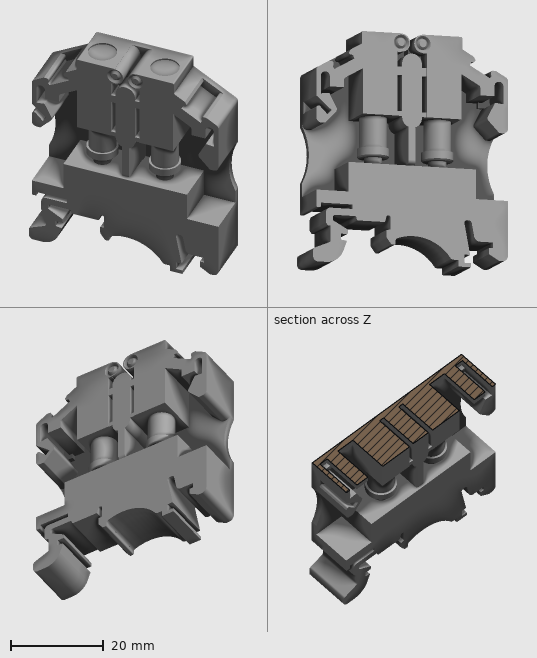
import cadquery as cq
import math

depth = 11.0
height = 51.0
wall_thickness = 1.5
pocket_depth = depth - wall_thickness
half_width = 21.8

base_top = 22.2
base_half_width = 14.45
shoulder_z = 15.7

rail_hollow_x = 0.3
rail_hollow_z = -3.55
rail_hollow_radius = 10.35
claw_inner_x = -3.75
claw_root_radius = 0.65

waist_bottom = 18.75
waist_top = 31.1
waist_sag = 1.55

head_half_width = 11.35
column_half_width = 11.2
head_bottom = 32.95
roof_break_z = 48.3
roof_bottom = 38.45
eave_z = 42.45
eave_radius = 1.0
ridge_radius = 0.3

pocket_half_width = 3.3
pocket_top = 46.9
partition_half_width = 2.25
partition_top = 46.7
partition_bottom = 30.5
partition_setback = 0.1
web_half_width = 0.8
web_bottom = 22.5
web_corner_radius = 0.9
web_gap_depth = 8.1
upper_bar_top = 43.7
upper_pocket_depth = 4.1
cross_bars = [(head_bottom, 34.0), (41.85, upper_bar_top)]

barrel_diameter = 4.0
barrel_x = 2.45
barrel_z = 48.95
ring_outer_diameter = 3.45
ring_root_diameter = 2.5
ring_inner_diameter = 1.5
ring_depth = 0.5

screw_x = 7.3
screw_y = 4.8
shaft_diameter = 6.0
collar_diameter = 7.0
neck_diameter = 4.0
collar_top = 26.15
collar_bottom = 24.1
collar_chamfer = 0.3
screw_access_diameter = 6.3
screw_access_depth = 0.35

hook_slot_depth = 8.5
ledge_depth = 1.0
ledge_bottom = 37.25
ledge_inner_x = 17.85
ledge_outer_x = 20.55


def corner_arc(before, corner, after, radius):
    """Start, middle and end of the arc that rounds a corner."""
    x, z = corner
    angle_in = math.atan2(before[1] - z, before[0] - x)
    angle_out = math.atan2(after[1] - z, after[0] - x)
    opening = abs((angle_out - angle_in + math.pi) % (2 * math.pi) - math.pi)
    reach = radius / math.tan(opening / 2)
    start = (x + reach * math.cos(angle_in), z + reach * math.sin(angle_in))
    end = (x + reach * math.cos(angle_out), z + reach * math.sin(angle_out))
    chord_middle = ((start[0] + end[0]) / 2 - x, (start[1] + end[1]) / 2 - z)
    to_middle = radius / math.sin(opening / 2) - radius
    scale = to_middle / math.hypot(*chord_middle)
    middle = (x + scale * chord_middle[0], z + scale * chord_middle[1])
    return start, middle, end


def plate(corners, y_front, y_back):
    """Extrude an XZ outline; a corner is (x, z) or (x, z, rounding radius)."""
    outline = cq.Workplane("XZ", origin=(0, y_front, 0))
    started = False
    for i, corner in enumerate(corners):
        before = corners[i - 1][:2]
        after = corners[(i + 1) % len(corners)][:2]
        if len(corner) == 3:
            start, middle, end = corner_arc(before, corner[:2], after, corner[2])
            outline = outline.lineTo(*start) if started else outline.moveTo(*start)
            outline = outline.threePointArc(middle, end)
        else:
            outline = outline.lineTo(*corner) if started else outline.moveTo(*corner)
        started = True
    return outline.close().extrude(y_front - y_back)


def block(x_min, x_max, y_min, y_max, z_min, z_max):
    """Box between two limits along each axis."""
    size = (x_max - x_min, y_max - y_min, z_max - z_min)
    return cq.Workplane("XY").box(*size, centered=False).translate((x_min, y_min, z_min))


def mirrored(corners):
    """Complete a right-half outline, running from top to bottom, with its left half."""
    left = [(-corner[0],) + corner[1:] for corner in reversed(corners)]
    return corners + left


def rail_foot():
    """Lower body with the rail clamp; same section through the whole depth."""
    corners = [
        (half_width, shoulder_z),
        (half_width, 2.45, 1.35),
        (19.8, 2.45, 0.4),
        (17.45, 3.8),
        (17.45, 5.2),
        (18.35, 5.2),
        (18.35, 6.45),
        (14.3, 6.45, 1.3),
        (13.4, 10.95, 0.65),
        (11.75, 10.95, 0.6),
        (13.15, 3.4),
        (11.9, 3.4),
        (11.9, 1.65),
        (13.35, 1.65),
        (13.35, 0.7),
        (10.45, 0.7),
        (10.45, 2.15),
        (8.85, 2.15, 1.3),
        (7.4, 3.75),
        (claw_inner_x, 5.6),
        (claw_inner_x, 4.65, 0.25),
        (-4.7, 4.65, 0.15),
        (-5.8, 6.1, 0.75),
        (-5.8, 7.8),
        (-4.9, 7.9),
        (-4.9, 10.95, 0.45),
        (-5.75, 10.95, 0.3),
        (-6.15, 9.5),
        (-12.5, 9.5, 0.25),
        (-12.75, 10.4, 0.25),
        (-18.0, 10.4, 0.5),
        (-18.0, 9.25, 0.2),
        (-14.6, 7.35, 0.2),
        (-14.6, 6.4, 0.2),
        (-16.2, 6.4),
        (-16.2, 5.1),
        (-14.8, 4.9, 0.15),
        (-16.65, 0, 4.1),
        (-22.5, 0, 1.1),
        (-22.5, 2.85, 0.65),
        (-18.5, 4.5, 0.45),
        (-18.5, 8.0),
        (-19.1, 8.0, 0.25),
        (-19.6, 8.6),
        (-19.6, 11.95, 1.0),
        (-13.5, 11.95, 0.2),
        (-13.5, 12.9, 0.2),
        (-20.65, 12.9),
        (-20.65, 11.95, 0.3),
        (-half_width, 11.95, 0.25),
        (-half_width, shoulder_z),
    ]
    return plate(corners, 0, depth)


def rail_clearance():
    """Round hollow in the underside that clears the rail."""
    arc = cq.Workplane("XZ").center(rail_hollow_x, rail_hollow_z).circle(rail_hollow_radius)
    hollow = arc.extrude(-depth).intersect(block(claw_inner_x, half_width, 0, depth, 0, height))
    return hollow.edges("|Y").edges("<X").edges(">Z").fillet(claw_root_radius)


def rear_wall():
    """Thin back plate with the full silhouette and a hollow waist on both sides."""
    right_half = [
        (head_half_width, height, ridge_radius),
        (head_half_width, roof_break_z),
        (half_width, eave_z, eave_radius),
        (half_width, shoulder_z),
    ]
    wall = plate(mirrored(right_half), pocket_depth, depth)
    half_chord = (waist_top - waist_bottom) / 2
    radius = (half_chord**2 + waist_sag**2) / (2 * waist_sag)
    centre_z = (waist_top + waist_bottom) / 2
    for side in (-1, 1):
        centre_x = side * (half_width - waist_sag + radius)
        hollow = cq.Workplane("XZ").center(centre_x, centre_z).circle(radius).extrude(-depth)
        wall = wall.cut(hollow)
    return wall


def housing():
    """Head block with two sloping roofs that end in hooks."""
    right_half = [
        (head_half_width, height, ridge_radius),
        (head_half_width, roof_break_z),
        (half_width, eave_z, eave_radius),
        (half_width, 30.45, 1.1),
        (19.8, 30.45, 0.3),
        (16.95, 33.4, 0.75),
        (18.8, 37.05),
        (20.7, 36.8),
        (20.7, 41.65, 0.95),
        (18.7, 41.65, 0.95),
        (18.7, roof_bottom),
        (15.45, roof_bottom),
        (15.45, 40.45, 0.6),
        (column_half_width, 42.85),
        (column_half_width, head_bottom),
    ]
    return plate(mirrored(right_half), 0, depth)


def label_grooves():
    """Undercut marker grooves in both roofs."""
    left = [
        (-16.6, 48.45),
        (-13.75, 47.1),
        (-14.45, 46.05, 0.3),
        (-14.1, 45.7, 0.15),
        (-13.45, 45.65),
        (-13.1, 44.9),
        (-17.65, 42.35),
        (-18.0, 42.8, 0.15),
        (-17.85, 43.25),
        (-17.85, 44.0, 0.45),
        (-19.35, 44.0),
    ]
    groove = plate(left, 0, pocket_depth)
    return groove.union(groove.mirror("YZ"))


def hook_slot():
    """Slanted slot that opens in the outer face of the left hook."""
    corners = [
        (-half_width, 36.3),
        (-18.3, 33.3),
        (-19.25, 32.35),
        (-21.2, 34.3, 0.4),
        (-half_width, 33.7),
    ]
    return plate(corners, 0, hook_slot_depth)


def ledges():
    """Small rear ledges under the roofs, just above the hooks."""
    y_front = pocket_depth - ledge_depth
    ledge = block(ledge_inner_x, ledge_outer_x, y_front, pocket_depth, ledge_bottom, roof_bottom)
    return ledge.union(ledge.mirror("YZ"))


def centre_pocket():
    """Pocket between the two halves of the head and the hinge channel above it."""
    gap_half_width = barrel_x - barrel_diameter / 2
    pocket = block(-pocket_half_width, pocket_half_width, 0, pocket_depth, head_bottom, upper_bar_top)
    recess = block(-pocket_half_width, pocket_half_width, 0, upper_pocket_depth, upper_bar_top, pocket_top)
    barrel_relief = block(-barrel_x, barrel_x, 0, upper_pocket_depth, pocket_top, barrel_z)
    gap = block(-gap_half_width, gap_half_width, 0, pocket_depth, upper_bar_top, barrel_z)
    channel = block(-barrel_x, barrel_x, 0, pocket_depth, barrel_z, height)
    opening = pocket.union(recess).union(barrel_relief).union(gap).union(channel)
    for side in (-1, 1):
        opening = opening.cut(barrel(side * barrel_x))
    return opening


def partition():
    """Round-ended partition with cross bars and a thin web down to the base."""
    radius = partition_half_width
    straight_bottom = partition_bottom + radius
    straight_top = partition_top - radius
    tongue = block(-radius, radius, partition_setback, pocket_depth, straight_bottom, straight_top)
    for z in (straight_bottom, straight_top):
        end = cq.Workplane("XZ", origin=(0, partition_setback, 0)).center(0, z).circle(radius)
        tongue = tongue.union(end.extrude(partition_setback - pocket_depth))
    for z_min, z_max in cross_bars:
        bar = block(-pocket_half_width, pocket_half_width, partition_setback, pocket_depth, z_min, z_max)
        tongue = tongue.union(bar)
    left, right = -web_half_width, web_half_width
    web = block(left, right, partition_setback, pocket_depth, web_bottom, straight_bottom)
    web = web.edges("<Y and <Z").fillet(web_corner_radius)
    web_root = block(left, right, web_gap_depth, pocket_depth, base_top, web_bottom)
    return tongue.union(web).union(web_root)


def barrel(x):
    """Round hinge barrel along Y, from the open front to the rear wall."""
    body = cq.Workplane("XZ", origin=(x, 0, barrel_z)).circle(barrel_diameter / 2)
    return body.extrude(-pocket_depth)


def barrel_ring(x):
    """V-shaped ring groove in the front end of a hinge barrel."""
    section = [
        (ring_inner_diameter / 2, 0),
        (ring_outer_diameter / 2, 0),
        (ring_root_diameter / 2, ring_depth),
    ]
    ring = cq.Workplane("XY").polyline(section).close().revolve(360, (0, 0), (0, 1))
    return ring.translate((x, 0, barrel_z))


def screw(x):
    """Clamping screw between the head and the base: shaft, collar and neck."""
    def cylinder(diameter, z_min, z_max):
        foot = cq.Workplane("XY", origin=(x, screw_y, z_min))
        return foot.circle(diameter / 2).extrude(z_max - z_min)

    collar = cylinder(collar_diameter, collar_bottom, collar_top).faces("<Z").chamfer(collar_chamfer)
    shaft = cylinder(shaft_diameter, collar_top, head_bottom)
    neck = cylinder(neck_diameter, base_top, collar_bottom)
    return collar.union(shaft).union(neck)


def screw_access(x):
    """Shallow round recess in the top face above a screw."""
    floor = cq.Workplane("XY", origin=(x, screw_y, height - screw_access_depth))
    return floor.circle(screw_access_diameter / 2).extrude(screw_access_depth)


base_block = block(-base_half_width, base_half_width, 0, depth, shoulder_z, base_top)
result = rail_foot().cut(rail_clearance()).union(base_block)
result = result.union(rear_wall())
upper = housing().cut(label_grooves()).cut(hook_slot()).cut(centre_pocket())
result = result.union(upper).union(partition()).union(ledges())
for side in (-1, 1):
    result = result.cut(barrel_ring(side * barrel_x))
    result = result.union(screw(side * screw_x)).cut(screw_access(side * screw_x))